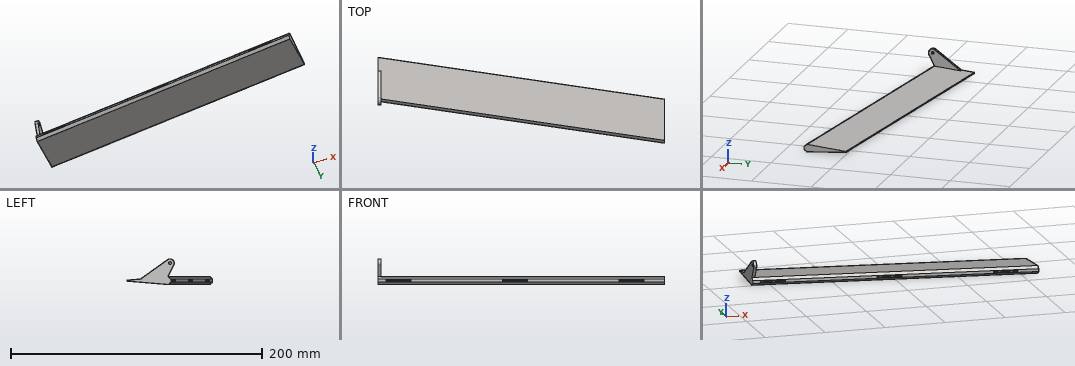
import cadquery as cq
import math

span = 228.0
total_depth = 68.5
total_height = 20.5
chord = 35.0
sweep = total_depth - chord

blade_thickness = 6.4
trailing_thickness = 1.0
nose_bevel_depth = 2.3
nose_bevel_height = 2.0

horn_thickness = 2.5
horn_tip_radius = 3.5
horn_tip_y = -0.2
horn_hole_diameter = 2.0
horn_foot_inset = 11.0

slot_length = 19.8
slot_height = 1.0
slot_depth = 10.0
slot_count = 3
slot_spacing = 92.8
first_slot_x = 16.2

trailing_y = total_depth / 2
nose_y = trailing_y - chord
shoulder_y = nose_y + nose_bevel_depth
mid_z = blade_thickness / 2


def upper_z(y):
    """Height of the upper surface at the X = 0 end."""
    share = (trailing_y - y) / (trailing_y - shoulder_y)
    half_thickness = trailing_thickness / 2 + share * (blade_thickness - trailing_thickness) / 2
    return mid_z + half_thickness


def tangent_point(point, center, radius, side):
    """Where a line from point touches a circle; side +1 or -1 picks one of the two tangents."""
    dy = point[0] - center[0]
    dz = point[1] - center[1]
    angle = math.atan2(dz, dy) + side * math.acos(radius / math.hypot(dy, dz))
    return (center[0] + radius * math.cos(angle), center[1] + radius * math.sin(angle))


def make_blade():
    section_points = [
        (trailing_y, mid_z + trailing_thickness / 2),
        (shoulder_y, blade_thickness),
        (nose_y, blade_thickness - nose_bevel_height),
        (nose_y, nose_bevel_height),
        (shoulder_y, 0),
        (trailing_y, mid_z - trailing_thickness / 2),
    ]
    root = cq.Workplane("YZ").polyline(section_points).close().wire().val()
    return cq.Workplane(cq.Solid.extrudeLinear(root, [], cq.Vector(span, -sweep, 0)))


def make_horn():
    """Plate standing on the blade: two straight flanks tangent to a round, drilled tip."""
    tip_center = (horn_tip_y, total_height - horn_tip_radius)
    tip_top = (horn_tip_y, total_height)
    back_y = trailing_y - horn_foot_inset
    back_foot = (back_y, upper_z(back_y))
    front_foot = (shoulder_y, blade_thickness)
    back_tangent = tangent_point(back_foot, tip_center, horn_tip_radius, 1)
    front_tangent = tangent_point(front_foot, tip_center, horn_tip_radius, -1)
    plate = (
        cq.Workplane("YZ")
        .moveTo(*back_foot)
        .lineTo(*back_tangent)
        .threePointArc(tip_top, front_tangent)
        .lineTo(*front_foot)
        .lineTo(shoulder_y, mid_z)
        .lineTo(back_y, mid_z)
        .close()
        .extrude(horn_thickness)
    )
    hole = cq.Workplane("YZ").center(*tip_center).circle(horn_hole_diameter / 2).extrude(horn_thickness)
    return plate.cut(hole)


def make_hinge_slot(x):
    """Thin block, square to the nose, centred on the nose face at x."""
    sweep_angle = math.degrees(math.atan2(sweep, span))
    y = nose_y - sweep * x / span
    return (
        cq.Workplane()
        .box(slot_length, 2 * slot_depth, slot_height)
        .rotate((0, 0, 0), (0, 0, 1), -sweep_angle)
        .translate((x, y, mid_z))
    )


blade = make_blade()
for index in range(slot_count):
    blade = blade.cut(make_hinge_slot(first_slot_x + index * slot_spacing))

result = blade.union(make_horn())